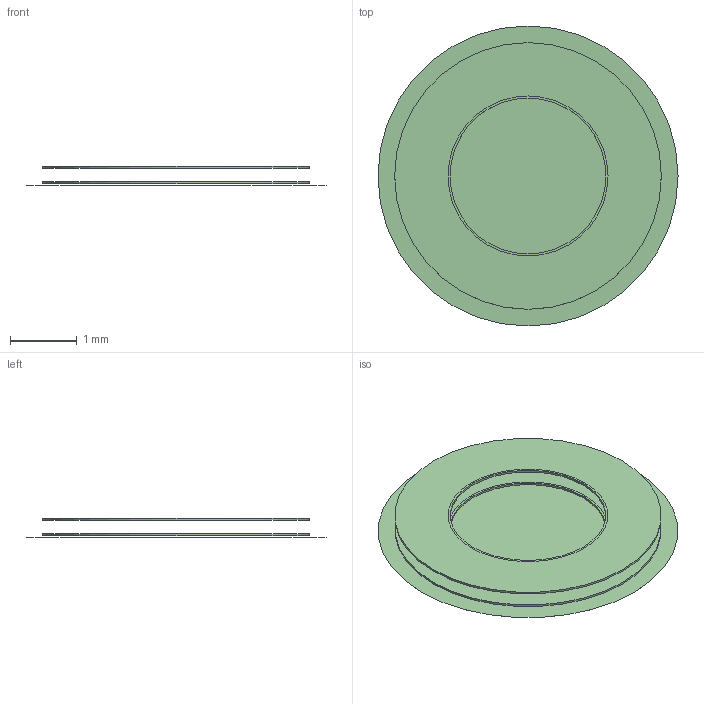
import cadquery as cq

stack_height = 0.29
film_diameter = 4.5
film_thickness = 0.0005

ring_outer_diameter = 4.0
ring_bore_diameter = 2.4
rim_width = 0.0307
ring_thickness = rim_width

lower_ring_bottom = 0.0253
upper_ring_bottom = stack_height - ring_thickness


def annulus(outer_diameter, inner_diameter, bottom):
    """Flat ring of the common ring thickness, centred on the Z axis."""
    return (
        cq.Workplane("XY", origin=(0, 0, bottom))
        .circle(outer_diameter / 2)
        .circle(inner_diameter / 2)
        .extrude(ring_thickness)
    )


def washer(bottom):
    """Flat washer around the rim."""
    return annulus(ring_outer_diameter, ring_bore_diameter, bottom)


def rim(bottom):
    """Narrow rim that lines the bore of a washer, flush with both its faces."""
    return annulus(ring_bore_diameter, ring_bore_diameter - 2 * rim_width, bottom)


film = cq.Workplane("XY").circle(film_diameter / 2).extrude(film_thickness)

lower_ring = washer(lower_ring_bottom).union(rim(lower_ring_bottom), clean=False)

upper_ring = washer(upper_ring_bottom)
upper_rim = rim(upper_ring_bottom)

result = cq.Compound.makeCompound(
    [film.val(), *lower_ring.solids().vals(), upper_ring.val(), upper_rim.val()]
)